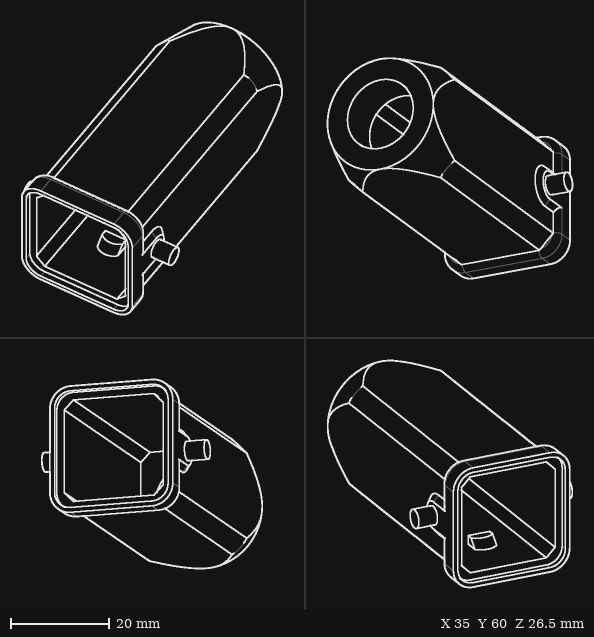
import cadquery as cq

length = 60.0
body_width = 24.2
body_chamfer = 3.2

cone_length = 10.1
cone_end_radius = body_width / 2
cone_start_radius = 15.1

collar_width = 26.5
collar_length = 5.35
collar_corner_radius = 4.5
collar_fillet = 1.5

recess_width = 24.5
recess_corner_radius = collar_corner_radius - (collar_width - recess_width) / 2
recess_depth = 1.5
cavity_width = 21.3
cavity_chamfer = 2.0
cavity_depth = length - cone_length
cable_hole_diameter = 15.0

pin_span = 35.0
pin_diameter = 4.0
pin_y = 9.3
pad_top_radius = 3.0
pad_base_radius = 4.3
pad_start_y = 2.4
pad_sink = 0.6

lug_width = 4.9
lug_height = 1.85
lug_front_y = 10.8
lug_bow = 1.0
lug_back_y = 15.0


def square_prism(width, depth):
    """Square bar along +Y, starting at the opening and centred on the Y axis."""
    return cq.Workplane("XZ").rect(width, width).extrude(-depth)


def make_body():
    bar = square_prism(body_width, length).edges("|Y").chamfer(body_chamfer)
    envelope = (
        cq.Workplane("XY")
        .moveTo(0, 0)
        .lineTo(cone_start_radius, 0)
        .lineTo(cone_start_radius, length - cone_length)
        .lineTo(cone_end_radius, length)
        .lineTo(0, length)
        .close()
        .revolve(360, (0, 0, 0), (0, 1, 0))
    )
    return bar.intersect(envelope)


def make_collar():
    collar = square_prism(collar_width, collar_length).edges("|Y").fillet(collar_corner_radius)
    return collar.faces(">Y").edges().fillet(collar_fillet)


def pad_outline(x, radius):
    """Strip with a round end about the pin axis, in the plane at the given X."""
    return (
        cq.Workplane("YZ", origin=(x, 0, 0))
        .moveTo(pad_start_y, -radius)
        .lineTo(pin_y, -radius)
        .threePointArc((pin_y + radius, 0), (pin_y, radius))
        .lineTo(pad_start_y, radius)
        .close()
        .wires()
        .val()
    )


def make_pad():
    base = pad_outline(body_width / 2, pad_base_radius)
    top = pad_outline(collar_width / 2, pad_top_radius)
    pad = cq.Workplane(cq.Solid.makeLoft([base, top], True))
    return pad.union(pad.faces("<X").wires().toPending().workplane().extrude(pad_sink))


def make_pin():
    wall_middle = (body_width + cavity_width) / 4
    return (
        cq.Workplane("YZ", origin=(wall_middle, pin_y, 0))
        .circle(pin_diameter / 2)
        .extrude(pin_span / 2 - wall_middle)
    )


def make_cavity():
    recess = square_prism(recess_width, recess_depth).edges("|Y").fillet(recess_corner_radius)
    cavity = square_prism(cavity_width, cavity_depth).edges("|Y").chamfer(cavity_chamfer)
    cable_hole = cq.Workplane("XZ").circle(cable_hole_diameter / 2).extrude(-length)
    return recess.union(cavity).union(cable_hole)


def lug_outline(height):
    """Section of the lug at the given height above the cavity floor."""
    front = lug_front_y + height
    shoulder = front + lug_bow
    return (
        cq.Workplane("XY", origin=(0, 0, -cavity_width / 2 + height))
        .moveTo(-lug_width / 2, shoulder)
        .threePointArc((0, front), (lug_width / 2, shoulder))
        .lineTo(lug_width / 2, lug_back_y)
        .lineTo(-lug_width / 2, lug_back_y)
        .close()
        .wires()
        .val()
    )


def make_lug():
    lug = cq.Solid.makeLoft([lug_outline(0), lug_outline(lug_height)], True)
    return cq.Workplane(lug)


side_parts = make_pad().union(make_pin())

result = (
    make_body()
    .union(make_collar())
    .union(side_parts)
    .union(side_parts.mirror("YZ"))
    .cut(make_cavity())
    .union(make_lug())
)